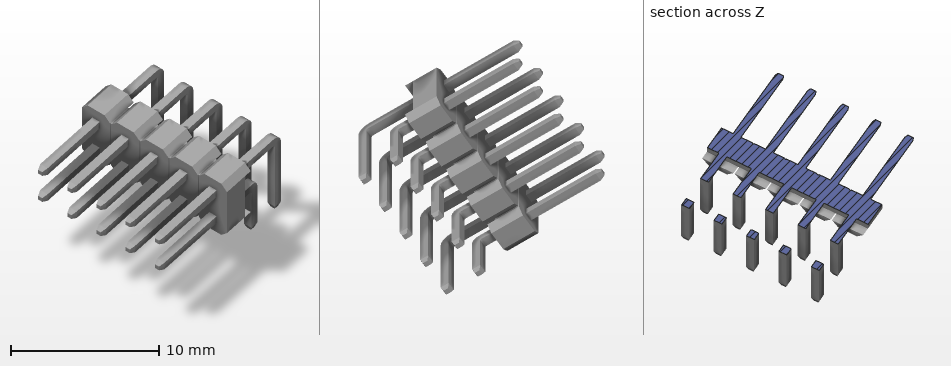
import cadquery as cq

columns = 5
pitch = 2.54

block_width = 2.45
block_depth = 2.54
block_height = 5.0
block_chamfer = 0.5
recess_depth = 0.62
web_setback = 0.06

pin_size = 0.64
tip_length = 0.4
tip_size = 0.36
front_reach = 6.0
total_depth = 12.9
tail_drop = 5.5
upper_outer_radius = 0.84
lower_outer_radius = 0.5
upper_inner_radius = 0.2
lower_inner_radius = 0.1

straight_height = block_height - 2 * block_chamfer
row_heights = {"upper": pitch / 2, "lower": -pitch / 2}
upper_tail_y = total_depth - front_reach - pin_size / 2
lower_tail_y = upper_tail_y - pitch
column_places = [(i - (columns - 1) / 2) * pitch for i in range(columns)]


def make_block(x):
    """Insulator block with its four long edges chamfered."""
    block = cq.Workplane("XY").box(block_width, block_depth, block_height)
    return block.edges("|Y").chamfer(block_chamfer).translate((x, block_depth / 2, 0))


def make_web():
    """Thin core that joins neighbouring blocks across the gaps between them."""
    length = (columns - 1) * pitch
    depth = block_depth - recess_depth - web_setback
    web = cq.Workplane("XY").box(length, depth, straight_height)
    return web.translate((0, web_setback + depth / 2, 0))


def make_recess():
    """Channel along the rear of all the blocks."""
    length = columns * pitch
    channel = cq.Workplane("XY").box(length, recess_depth, straight_height)
    return channel.translate((0, block_depth - recess_depth / 2, 0))


def make_pin(x, row_z, tail_y, outer_radius, inner_radius):
    """Right-angle pin with a rounded bend and a tapered tip at each end."""
    half = pin_size / 2
    front_y = -front_reach + tip_length
    bottom_z = -tail_drop + tip_length
    shank = (
        cq.Workplane("YZ")
        .moveTo(front_y, row_z - half)
        .lineTo(front_y, row_z + half)
        .lineTo(tail_y + half, row_z + half)
        .lineTo(tail_y + half, bottom_z)
        .lineTo(tail_y - half, bottom_z)
        .lineTo(tail_y - half, row_z - half)
        .close()
        .extrude(half, both=True)
    )
    outer_corner = cq.selectors.NearestToPointSelector((0, tail_y + half, row_z + half))
    inner_corner = cq.selectors.NearestToPointSelector((0, tail_y - half, row_z - half))
    shank = shank.edges("|X").edges(outer_corner).fillet(outer_radius)
    shank = shank.edges("|X").edges(inner_corner).fillet(inner_radius)
    front_plane = cq.Plane((0, front_y, row_z), (1, 0, 0), (0, -1, 0))
    tail_plane = cq.Plane((0, tail_y, bottom_z), (1, 0, 0), (0, 0, -1))
    pin = shank.union(make_tip(front_plane)).union(make_tip(tail_plane))
    return pin.translate((x, 0, 0))


def make_tip(plane):
    """Tapered square end that grows out of the given plane."""
    return (
        cq.Workplane(plane)
        .rect(pin_size, pin_size)
        .workplane(offset=tip_length)
        .rect(tip_size, tip_size)
        .loft(ruled=True)
    )


header = make_web()
for column_x in column_places:
    header = header.union(make_block(column_x))
header = header.cut(make_recess())

for column_x in column_places:
    upper_pin = make_pin(column_x, row_heights["upper"], upper_tail_y, upper_outer_radius, upper_inner_radius)
    lower_pin = make_pin(column_x, row_heights["lower"], lower_tail_y, lower_outer_radius, lower_inner_radius)
    header = header.union(upper_pin).union(lower_pin)

result = header